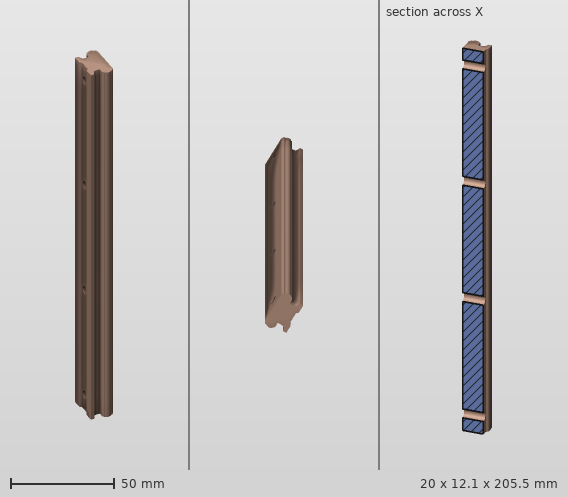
import cadquery as cq

LENGTH = 205.5
WIDTH = 20.0
DEPTH = 12.1

ROD_RADIUS = 2.0
ROD_FROM_TOP = 3.3
ROD_X = WIDTH / 2 - ROD_RADIUS
ROD_Y = DEPTH - ROD_FROM_TOP

TOP_HALF_WIDTH = 8.0
SHOULDER_HALF_WIDTH = 9.2
SHOULDER_DROP = 0.8
SHOULDER_BOTTOM_Y = 7.0
LIP_HALF_WIDTH = 8.2
LIP_FROM_TOP = 6.0
WAIST_HALF_WIDTH = 5.8
WAIST_BOTTOM_Y = 2.7
WAIST_FILLET = 2.0
FOOT_HALF_WIDTH = 8.2
FOOT_EDGE_Y = 1.8

RELIEF_HALF_WIDTH = 4.0
RELIEF_DEPTH = 1.0
RELIEF_FLARE = 1.0

HOLE_DIAMETER = 4.5
HOLE_COUNT = 4
HOLE_PITCH = 62.5
FIRST_HOLE_Z = 9.2


def make_rod(side):
    """Round rod; side is -1 for the left edge and +1 for the right edge."""
    return cq.Workplane("XY").center(side * ROD_X, ROD_Y).circle(ROD_RADIUS).extrude(LENGTH)


def make_rail_blank():
    """Symmetric rail section swept along the full length."""
    right_half = [
        (0, RELIEF_DEPTH),
        (RELIEF_HALF_WIDTH - RELIEF_FLARE, RELIEF_DEPTH),
        (RELIEF_HALF_WIDTH, 0),
        (FOOT_HALF_WIDTH, 0),
        (FOOT_HALF_WIDTH, FOOT_EDGE_Y),
        (WAIST_HALF_WIDTH, WAIST_BOTTOM_Y),
        (WAIST_HALF_WIDTH, DEPTH - LIP_FROM_TOP),
        (LIP_HALF_WIDTH, DEPTH - LIP_FROM_TOP),
        (SHOULDER_HALF_WIDTH, SHOULDER_BOTTOM_Y),
        (SHOULDER_HALF_WIDTH, DEPTH - SHOULDER_DROP),
        (TOP_HALF_WIDTH, DEPTH),
        (0, DEPTH),
    ]
    blank = cq.Workplane("XY").polyline(right_half).mirrorY().extrude(LENGTH)
    for side in (-1, 1):
        waist_corner = (side * WAIST_HALF_WIDTH, WAIST_BOTTOM_Y, LENGTH / 2)
        blank = blank.edges(cq.NearestToPointSelector(waist_corner)).fillet(WAIST_FILLET)
    return blank


def make_hole_cutter(z):
    """Cylinder through the full depth at height z."""
    hole = cq.Workplane("XZ").center(0, z).circle(HOLE_DIAMETER / 2)
    return hole.extrude(-DEPTH)


rods = [make_rod(side) for side in (-1, 1)]

rail = make_rail_blank()
for rod in rods:
    rail = rail.cut(rod)
for index in range(HOLE_COUNT):
    rail = rail.cut(make_hole_cutter(FIRST_HOLE_Z + index * HOLE_PITCH))

result = cq.Compound.makeCompound([rail.val(), *[rod.val() for rod in rods]])